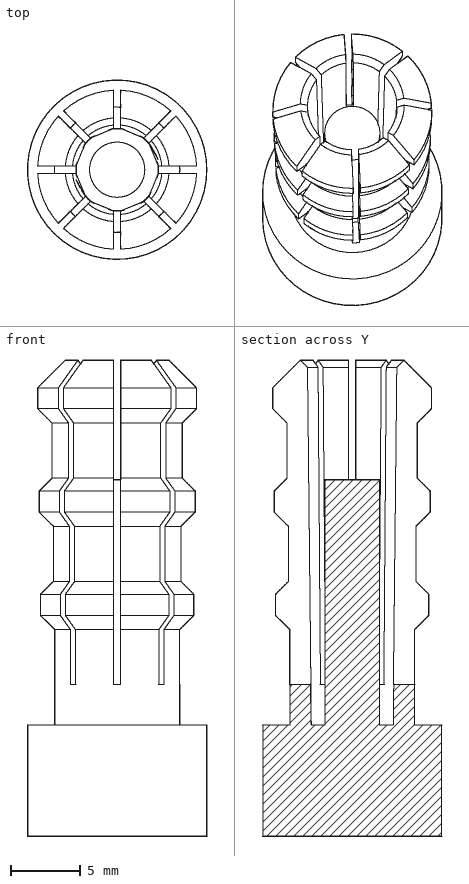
import cadquery as cq

total_height = 34.45
base_diameter = 13.0
base_radius = base_diameter / 2
base_height = 8.05

ridge_count = 3
ridge_pitch = 7.48
ridge_rise = 1.05
ridge_land = 1.5
lowest_neck_diameter = 9.05
neck_radius_step = 0.095
tip_chamfer = 2.0
top_crest_z = total_height - tip_chamfer

mouth_chamfer = 0.5
bore_floor_radius = 2.95
bore_floor_z = base_height
pin_radius = 2.0
pin_top_z = 25.8

slot_count = 8
slot_width = 0.5
slot_floor_z = 11.0


def neck_radius(level):
    """Radius of the neck directly below the ridge at this level, counted from the bottom."""
    return lowest_neck_diameter / 2 + level * neck_radius_step


mouth_radius = neck_radius(ridge_count - 1) + ridge_rise - tip_chamfer


def sleeve_profile():
    """Half section of the base and the barbed sleeve, ending at the sharp mouth edge."""
    points = [(0, 0), (base_radius, 0), (base_radius, base_height), (neck_radius(0), base_height)]
    for level in range(ridge_count):
        crest_radius = neck_radius(level) + ridge_rise
        crest_top_z = top_crest_z - (ridge_count - 1 - level) * ridge_pitch
        crest_bottom_z = crest_top_z - ridge_land
        points.append((neck_radius(level), crest_bottom_z - ridge_rise))
        points.append((crest_radius, crest_bottom_z))
        points.append((crest_radius, crest_top_z))
        if level < ridge_count - 1:
            next_neck = neck_radius(level + 1)
            points.append((next_neck, crest_top_z + crest_radius - next_neck))
    points.append((mouth_radius, total_height))
    points.append((0, total_height))
    return points


def bore_profile():
    """Half section of the bore, from its floor up to the chamfered mouth."""
    return [
        (0, bore_floor_z),
        (bore_floor_radius, bore_floor_z),
        (mouth_radius - mouth_chamfer, total_height - mouth_chamfer),
        (mouth_radius, total_height),
        (0, total_height),
    ]


def revolve_about_z(points):
    return cq.Workplane("XZ").polyline(points).close().revolve(360, (0, 0), (0, 1))


def finger_slots():
    """Radial cutters running from the axis outwards, open at the top."""
    slot_height = total_height - slot_floor_z
    cutter = cq.Workplane("XY").box(base_radius, slot_width, slot_height, centered=(False, True, False))
    cutter = cutter.translate((0, 0, slot_floor_z))
    slots = cutter
    for index in range(1, slot_count):
        slots = slots.union(cutter.rotate((0, 0, 0), (0, 0, 1), index * 360 / slot_count))
    return slots


pin = cq.Workplane("XY").workplane(offset=bore_floor_z).circle(pin_radius).extrude(pin_top_z - bore_floor_z)

sleeve = revolve_about_z(sleeve_profile()).cut(revolve_about_z(bore_profile())).cut(finger_slots())
result = sleeve.union(pin)